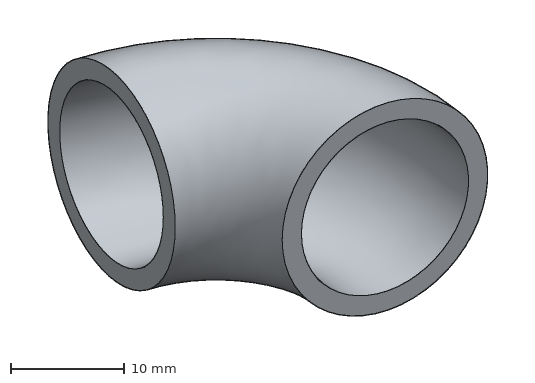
import cadquery as cq

overall_size = 28.15
outer_diameter = 21.3
wall_thickness = 2.0
bend_angle = 90.0

outer_radius = outer_diameter / 2
inner_radius = outer_radius - wall_thickness
bend_radius = overall_size - outer_radius

result = (
    cq.Workplane("XZ")
    .center(-bend_radius, 0)
    .circle(outer_radius)
    .circle(inner_radius)
    .revolve(bend_angle, axisStart=(bend_radius, 0), axisEnd=(bend_radius, -1))
)